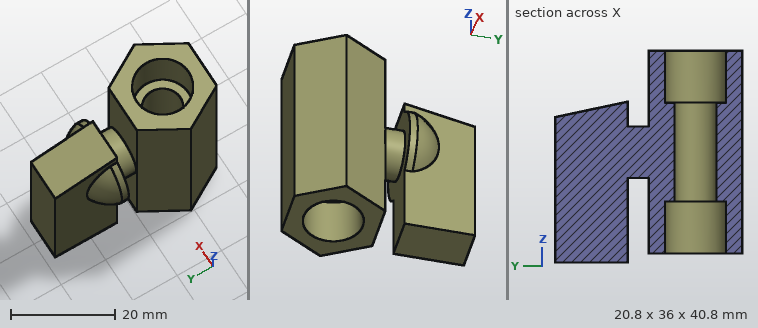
import cadquery as cq
import math

body_across_flats = 18.0
body_height = 39.0
bore_diameter = 8.0
socket_diameter = 11.75
socket_depth = 10.0

stem_diameter = 10.0
stem_length = 4.0

knob_diameter = 17.52
knob_rim_thickness = 1.55
knob_dome_height = 6.45

lever_width = 9.0
lever_depth = 13.98
lever_near_height = 30.95
lever_far_height = 28.0
lever_overhang = 1.75

body_rear = body_across_flats / 2
knob_start = body_rear + stem_length


def make_body():
    across_corners = body_across_flats / math.cos(math.pi / 6)
    body = (
        cq.Workplane("XY")
        .polygon(6, across_corners)
        .circle(bore_diameter / 2)
        .extrude(body_height / 2, both=True)
    )
    for end in (">Z", "<Z"):
        body = body.faces(end).workplane(centerOption="CenterOfBoundBox")
        body = body.circle(socket_diameter / 2).cutBlind(-socket_depth)
    return body


def make_stem():
    plane = cq.Workplane("XZ", origin=(0, body_rear, 0))
    return plane.circle(stem_diameter / 2).extrude(-stem_length)


def make_knob():
    radius = knob_diameter / 2
    rim_end = knob_start + knob_rim_thickness
    apex = rim_end + knob_dome_height
    dome_radius = (radius**2 + knob_dome_height**2) / (2 * knob_dome_height)
    half_angle = math.asin(radius / dome_radius) / 2
    arc_mid = (
        dome_radius * math.sin(half_angle),
        apex - dome_radius * (1 - math.cos(half_angle)),
    )
    return (
        cq.Workplane("XY")
        .moveTo(0, knob_start)
        .lineTo(radius, knob_start)
        .lineTo(radius, rim_end)
        .threePointArc(arc_mid, (0, apex))
        .close()
        .revolve(360, (0, 0, 0), (0, 1, 0))
    )


def make_lever():
    bottom = -body_height / 2 - lever_overhang
    far_end = knob_start + lever_depth
    return (
        cq.Workplane("YZ")
        .moveTo(knob_start, bottom)
        .lineTo(far_end, bottom)
        .lineTo(far_end, bottom + lever_far_height)
        .lineTo(knob_start, bottom + lever_near_height)
        .close()
        .extrude(lever_width / 2, both=True)
    )


result = make_body().union(make_stem()).union(make_knob()).union(make_lever())